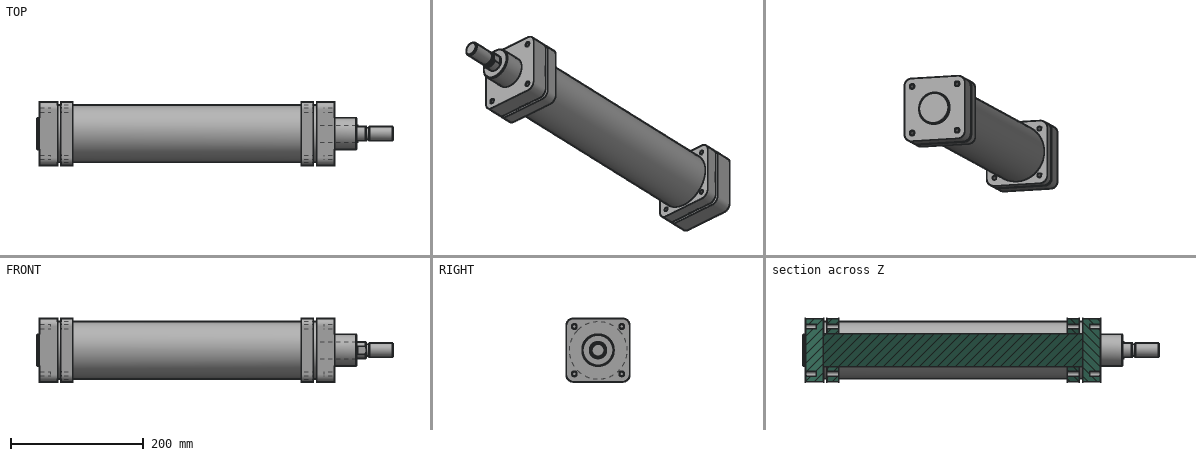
import cadquery as cq

total_length = 536.0
plate_side = 96.0
corner_radius = 11.0
cap_thickness = 27.5
flange_thickness = 18.0
cap_gap = 5.0

barrel_diameter = 87.0
boss_diameter = 48.0
boss_chamfer = 1.35
rear_boss_length = 4.0
front_boss_length = 33.0

bolt_spacing = 71.5
bolt_hole_diameter = 6.5
bolt_hole_chamfer = 0.8
cap_hole_depth = 16.0

rod_diameter = 25.0
rod_chamfer = 1.5
wrench_width = 22.0
shoulder_length = 1.5
shank_length = 14.5
neck_diameter = 18.0
neck_length = 3.0
thread_diameter = 22.0
thread_length = 37.0
thread_chamfer = 1.5

thread_start = total_length - thread_length
shank_end = thread_start - neck_length
front_boss_end = shank_end - shank_length
front_cap_end = front_boss_end - front_boss_length
front_cap_start = front_cap_end - cap_thickness
front_flange_start = front_cap_start - cap_gap - flange_thickness
rear_cap_start = rear_boss_length
rear_cap_end = rear_cap_start + cap_thickness
rear_flange_start = rear_cap_end + cap_gap


def cylinder(start, length, diameter):
    """Round bar along X."""
    return cq.Workplane("YZ", origin=(start, 0, 0)).circle(diameter / 2).extrude(length)


def plate(start, thickness):
    """Square plate across the axis, with rounded corners."""
    body = cq.Workplane("YZ", origin=(start, 0, 0)).rect(plate_side, plate_side).extrude(thickness)
    return body.edges("|X").fillet(corner_radius)


def bolt_pattern(start):
    """Workplane holding the four bolt centres near the plate corners."""
    plane = cq.Workplane("YZ", origin=(start, 0, 0))
    return plane.rect(bolt_spacing, bolt_spacing, forConstruction=True).vertices()


def cap_plate():
    """Plate starting at X = 0 with four blind bolt holes, chamfered at the mouth, in its -X face."""
    bolt_radius = bolt_hole_diameter / 2
    holes = bolt_pattern(0).circle(bolt_radius).extrude(cap_hole_depth)
    mouths = bolt_pattern(0).circle(bolt_radius + bolt_hole_chamfer).extrude(bolt_hole_chamfer, taper=45)
    return plate(0, cap_thickness).cut(holes).cut(mouths)


def make_rear_cap():
    """Cap with a short centring boss."""
    boss = cylinder(0, rear_boss_length, boss_diameter).faces("<X").chamfer(boss_chamfer)
    return cap_plate().translate((rear_cap_start, 0, 0)).union(boss)


def make_front_cap():
    """Mirrored cap plate with the long guide boss, bored through for the rod."""
    boss = cylinder(front_cap_end, front_boss_length, boss_diameter).faces(">X").chamfer(boss_chamfer)
    body = cap_plate().mirror("YZ").translate((front_cap_end, 0, 0)).union(boss)
    return body.cut(cylinder(front_cap_start, cap_thickness + front_boss_length, rod_diameter))


def make_flange(start):
    """Plate around the barrel, with four through holes."""
    holes = bolt_pattern(start).circle(bolt_hole_diameter / 2).extrude(flange_thickness)
    bore = cylinder(start, flange_thickness, barrel_diameter)
    return plate(start, flange_thickness).cut(holes).cut(bore)


def make_barrel():
    """Round body held between the inner faces of the two caps."""
    return cylinder(rear_cap_end, front_cap_start - rear_cap_end, barrel_diameter)


def make_rod():
    """Piston rod with wrench flats, an undercut neck and a threaded end."""
    shank = cylinder(front_cap_start, shank_end - front_cap_start, rod_diameter)
    shank = shank.faces(">X").chamfer(rod_chamfer)
    flats_start = front_boss_end + shoulder_length
    flats_length = shank_end - flats_start
    flats_center = (flats_start + shank_end) / 2
    flats = cq.Workplane("XY").box(flats_length, wrench_width, rod_diameter)
    flats = flats.translate((flats_center, 0, 0))
    shank = shank.cut(cylinder(flats_start, flats_length, rod_diameter).cut(flats))
    neck = cylinder(shank_end, neck_length, neck_diameter)
    thread = cylinder(thread_start, thread_length, thread_diameter).faces("<X or >X").chamfer(thread_chamfer)
    return shank.union(neck).union(thread)


rear_cap = make_rear_cap()
front_cap = make_front_cap()
barrel = make_barrel()
rod = make_rod()
flanges = [make_flange(start) for start in (rear_flange_start, front_flange_start)]

result = cq.Compound.makeCompound([
    rear_cap.val(),
    front_cap.val(),
    barrel.val(),
    rod.val(),
    *[flange.val() for flange in flanges],
])